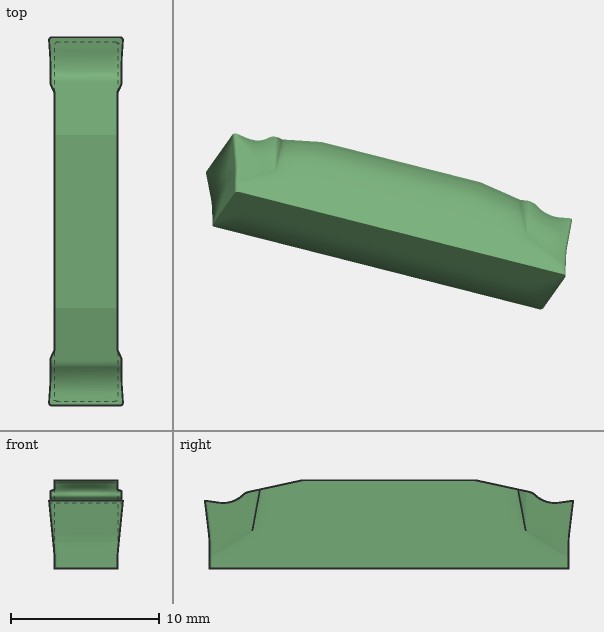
import cadquery as cq
import math

length = 24.86
height = 5.97
body_width = 4.27
corner_radius = 0.22

tip_height = 4.59
land_length = 0.98
land_slope = 8.0
groove_end_in = 2.63
groove_end_height = 5.02
crest_end_in = 3.0
crest_end_height = 5.19
flat_top_in = 6.6

relief_angle = 6.8
blend_top = 2.22
blend_bottom = 1.78

head_half_width_at_tip = 2.517
side_clearance = 5.4
side_back_taper = 3.3
head_back_in = 3.2
shoulder_angle = 27.0
shoulder_length = 1.0

stock_width = 2 * body_width
wedge_height = height + 1.0
tip_overhang = 0.5
edge_margin = 0.02


def tan_deg(angle):
    return math.tan(math.radians(angle))


half_length = length / 2
land_end_height = tip_height - land_length * tan_deg(land_slope)
blend_middle = (blend_top + blend_bottom) / 2
foot_in = (tip_height - blend_middle) * tan_deg(relief_angle)
blend_top_in = (tip_height - blend_top) * tan_deg(relief_angle)


def at(inward, z):
    """Side-outline point (Y, Z) at a distance inward from the -Y tip."""
    return (inward - half_length, z)


def crest_middle():
    """Mid point of the crest arc, which is tangent to the ramp above it."""
    run = crest_end_in - groove_end_in
    climb = crest_end_height - groove_end_height
    ramp_angle = math.atan2(height - crest_end_height, flat_top_in - crest_end_in)
    chord_angle = math.atan2(climb, run)
    sagitta = math.hypot(run, climb) / 2 * math.tan((chord_angle - ramp_angle) / 2)
    return at(
        (groove_end_in + crest_end_in) / 2 - sagitta * math.sin(chord_angle),
        (groove_end_height + crest_end_height) / 2 + sagitta * math.cos(chord_angle),
    )


def half_bar(width):
    """The -Y half of the side outline, extruded to the given width."""
    return (
        cq.Workplane("YZ")
        .moveTo(*at(foot_in, 0))
        .lineTo(*at(foot_in, blend_bottom))
        .tangentArcPoint(at(blend_top_in, blend_top), relative=False)
        .lineTo(*at(0, tip_height))
        .lineTo(*at(land_length, land_end_height))
        .tangentArcPoint(at(groove_end_in, groove_end_height), relative=False)
        .threePointArc(crest_middle(), at(crest_end_in, crest_end_height))
        .lineTo(*at(flat_top_in, height))
        .lineTo(0, height)
        .lineTo(0, 0)
        .close()
        .extrude(width / 2, both=True)
    )


def head_half_width(inward, z):
    """Half width of the head; both side faces are flat and lean two ways."""
    clearance = (tip_height - z) * tan_deg(side_clearance)
    return head_half_width_at_tip - clearance - inward * tan_deg(side_back_taper)


def head_section(z):
    """Corner points (X, Y) of the head at one height."""
    back_half_width = head_half_width(head_back_in, z)
    right_side = [
        (head_half_width(-tip_overhang, z), -tip_overhang - half_length),
        (back_half_width, head_back_in - half_length),
        (
            back_half_width - shoulder_length * tan_deg(shoulder_angle),
            head_back_in + shoulder_length - half_length,
        ),
    ]
    left_side = [(-x, y) for x, y in reversed(right_side)]
    return right_side + left_side


def head_wedge():
    """Flat-faced wedge through the head sections, from the underside to above the part."""
    bottom = [cq.Vector(x, y, 0) for x, y in head_section(0)]
    top = [cq.Vector(x, y, wedge_height) for x, y in head_section(wedge_height)]
    loops = [bottom, top]
    for i in range(len(bottom)):
        loops.append([bottom[i - 1], bottom[i], top[i], top[i - 1]])
    faces = [cq.Face.makeFromWires(cq.Wire.makePolygon(loop, close=True)) for loop in loops]
    return cq.Workplane(cq.Solid.makeSolid(cq.Shell.makeShell(faces)))


def round_upright_edges(solid, inward_from, inward_to):
    """Round the edges on both sides centred between two distances from the -Y tip."""
    def side_edges(x_from, x_to):
        return cq.selectors.BoxSelector(
            (x_from, inward_from - half_length - edge_margin, -edge_margin),
            (x_to, inward_to - half_length + edge_margin, wedge_height),
        )

    right_edges = side_edges(edge_margin, stock_width)
    left_edges = side_edges(-stock_width, -edge_margin)
    return solid.edges(right_edges + left_edges).fillet(corner_radius)


def body_half():
    """Parallel body from the -Y end to the middle."""
    return round_upright_edges(half_bar(body_width), 0, foot_in)


def head():
    """Widened cutting head at the -Y end."""
    block = half_bar(stock_width).intersect(head_wedge())
    block = round_upright_edges(block, 0, foot_in)
    return round_upright_edges(block, head_back_in, head_back_in)


half = body_half().union(head())
result = half.union(half.rotate((0, 0, 0), (0, 0, 1), 180)).clean()